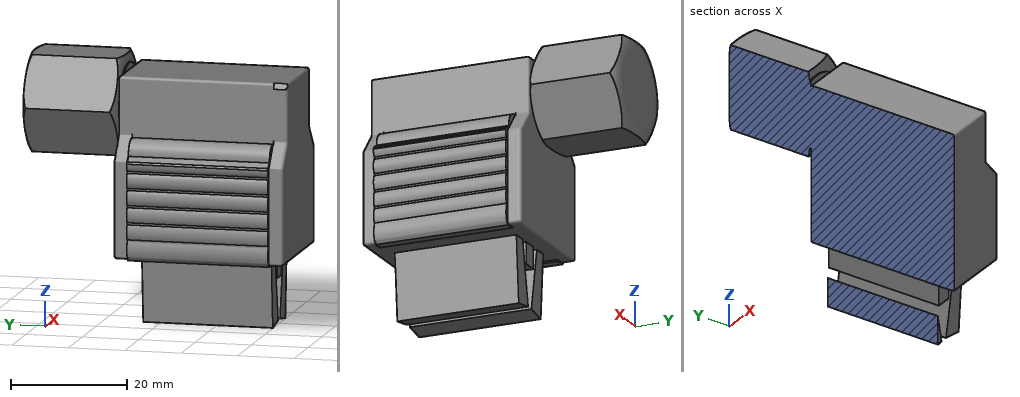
import cadquery as cq
import math


housing_length = 30.0
housing_height = 31.4
neck_half_width = 8.05
base_half_width = 11.4
shoulder_top = 21.15
shoulder_bottom = 17.15
edge_radius = 0.5

grip_end_margin = 2.5
roll_radius = 2.5
roll_center_x = 8.5
roll_center_z = 18.35
roll_step = 0.3
roll_top = roll_center_z + math.sqrt(roll_radius**2 - (roll_center_x - neck_half_width) ** 2)
groove_half_width = 11.95
crest_half_width = 12.35
crest_height = 16.9
top_rib_mid_half_width = 12.25
crest_bevel_width = 0.2
crest_bevel_height = 0.38
rib_pitch = 3.0
rib_count = 5
groove_land = 0.38
first_groove_top = 15.6
crest_taper = 0.05
grip_bottom = -0.2
grip_lip_half_width = 9.6
grip_bottom_chamfer = 0.55
grip_bottom_draft = 0.1

nut_across_flats = 17.0
nut_axis_z = 25.4
nut_end = 47.0
collar_length = 0.2
collar_diameter = 14.0
nut_face_diameter = collar_diameter
nut_end_radius = 4.7

leg_length = 23.0
leg_front = 3.5
leg_root_outer = 5.6
leg_root_inner = 2.95
leg_tip_outer = 4.6
leg_tip_inner = 0.65
leg_tip_outer_z = -12.15
leg_tip_inner_z = -11.55
block_width = 3.0
block_bottom = -4.05

corner_flat_width = 0.5
corner_flat_height = 1.0


def extrude_along_y(outline, start, length):
    """Extrude a closed XZ outline from Y = start towards +Y."""
    return outline.extrude(-length).translate((0, start, 0))


def along_grip(outline):
    return extrude_along_y(outline, grip_end_margin, housing_length - 2 * grip_end_margin)


def both_sides(body):
    return body.union(body.mirror("YZ"))


def make_housing():
    right_side = [
        (base_half_width, 0),
        (base_half_width, shoulder_bottom),
        (neck_half_width, shoulder_top),
        (neck_half_width, housing_height),
    ]
    left_side = [(-x, z) for x, z in reversed(right_side)]
    outline = cq.Workplane("XZ").polyline(right_side + left_side).close()
    housing = extrude_along_y(outline, 0, housing_length).edges().fillet(edge_radius)

    clearance = cq.Workplane("XZ").polyline(
        [
            (neck_half_width, roll_top),
            (neck_half_width, housing_height),
            (base_half_width, housing_height),
            (base_half_width, roll_top),
        ]
    ).close()
    return housing.cut(both_sides(along_grip(clearance)))


def make_grip():
    """Ribbed flank on the +X side with a rounded roll over the shoulder."""
    diagonal = roll_radius * math.sqrt(0.5)
    outline = (
        cq.Workplane("XZ")
        .moveTo(neck_half_width, roll_top)
        .threePointArc(
            (roll_center_x + diagonal, roll_center_z + diagonal),
            (roll_center_x + roll_radius, roll_center_z),
        )
        .lineTo(roll_center_x + roll_radius, roll_center_z - roll_step)
        .lineTo(crest_half_width - crest_bevel_width, crest_height + crest_bevel_height)
        .lineTo(crest_half_width, crest_height)
        .threePointArc(
            (top_rib_mid_half_width, (crest_height + first_groove_top) / 2),
            (groove_half_width, first_groove_top),
        )
    )
    for rib in range(rib_count):
        rib_top = first_groove_top - rib * rib_pitch - groove_land
        rib_bottom = rib_top + groove_land - rib_pitch
        crest = (crest_half_width - rib * crest_taper, (rib_top + rib_bottom) / 2)
        outline = outline.lineTo(groove_half_width, rib_top)
        outline = outline.threePointArc(crest, (groove_half_width, rib_bottom))
    outline = (
        outline.lineTo(groove_half_width - grip_bottom_draft, grip_bottom + grip_bottom_chamfer)
        .lineTo(groove_half_width - grip_bottom_chamfer, grip_bottom)
        .lineTo(grip_lip_half_width, grip_bottom)
        .lineTo(neck_half_width, edge_radius)
        .close()
    )
    return along_grip(outline)


def make_nut():
    nut_start = housing_length + collar_length
    nut_length = nut_end - nut_start
    across_corners = nut_across_flats / math.cos(math.radians(30))
    hexagon = cq.Workplane("XZ").polygon(6, across_corners).extrude(-nut_length)

    nut_face_radius = nut_face_diameter / 2
    corner_radius = across_corners / 2
    end_run = corner_radius - nut_face_radius
    setback = nut_end_radius - math.sqrt(nut_end_radius**2 - end_run**2)
    mid_radius = nut_face_radius + end_run / 2
    mid_setback = nut_end_radius - math.sqrt(nut_end_radius**2 - (end_run / 2) ** 2)
    envelope = (
        cq.Workplane("XY")
        .lineTo(nut_face_radius, 0)
        .threePointArc((mid_radius, mid_setback), (corner_radius, setback))
        .lineTo(corner_radius, nut_length - setback)
        .threePointArc((mid_radius, nut_length - mid_setback), (nut_face_radius, nut_length))
        .lineTo(0, nut_length)
        .close()
        .revolve(360, (0, 0), (0, 1))
    )
    nut = hexagon.intersect(envelope).translate((0, nut_start, nut_axis_z))
    collar = extrude_along_y(
        cq.Workplane("XZ").center(0, nut_axis_z).circle(collar_diameter / 2),
        housing_length,
        collar_length,
    )
    return nut.union(collar)


def make_leg():
    outline = (
        cq.Workplane("XZ")
        .moveTo(leg_root_inner, edge_radius)
        .lineTo(leg_root_inner, 0)
        .lineTo(leg_tip_inner, leg_tip_inner_z)
        .lineTo(leg_tip_outer, leg_tip_outer_z)
        .lineTo(leg_root_outer, 0)
        .lineTo(leg_root_outer, edge_radius)
        .close()
    )
    return extrude_along_y(outline, leg_front, leg_length)


def make_block():
    height = edge_radius - block_bottom
    block = cq.Workplane("XY").box(block_width, leg_length, height, centered=(True, False, False))
    return block.translate((0, leg_front, block_bottom))


def make_corner_flat():
    """Wedge removed from the -X top edge between the front face and the grip."""
    outline = cq.Workplane("XZ").polyline(
        [
            (-neck_half_width, housing_height),
            (-neck_half_width + corner_flat_width, housing_height),
            (-neck_half_width, housing_height - corner_flat_height),
        ]
    ).close()
    return extrude_along_y(outline, 0, grip_end_margin)


result = (
    make_housing()
    .union(both_sides(make_grip()))
    .union(make_nut())
    .union(both_sides(make_leg()))
    .union(make_block())
    .cut(make_corner_flat())
)